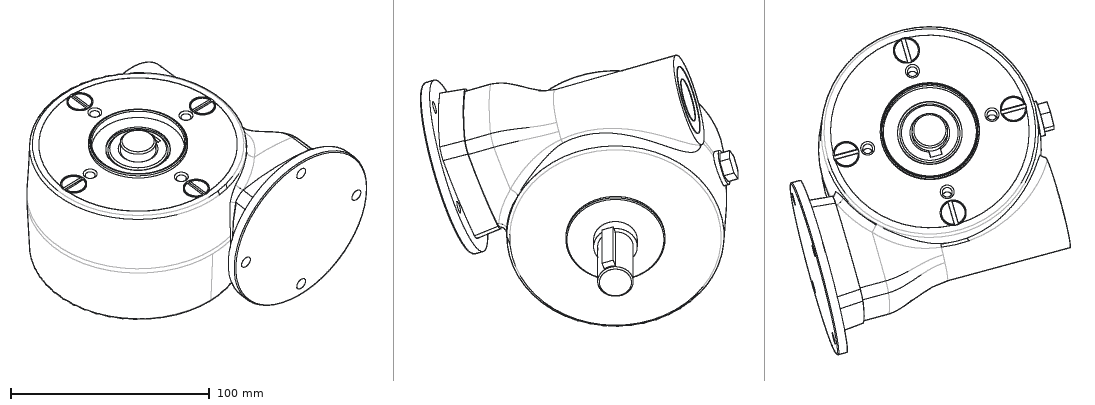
import cadquery as cq
import math

DRUM_R = 56.1
DRUM_END_R = 54.7
DRUM_HALF_H = 35.1
BAND_HALF_H = 1.5
RIM_FILLET = 1.5
COVER_R = 50.0
COVER_STEP = 0.1

BOSS_R = 25.0
BOSS_END_Z = 37.0
BOSS_CHAMFER = 0.6
RECESS_R = 23.5
RECESS_FLOOR_Z = 32.2
HUB_R = 15.2
HUB_GROOVE_R = 16.25
HUB_GROOVE_DEPTH = 1.0
HUB_CHAMFER = 0.9
BORE_CHAMFER_R = 9.99
SHAFT_R = 8.97
SHAFT_TOP_Z = 37.5
SHAFT_BOTTOM_Z = -75.59
SHAFT_CHAMFER = 0.9
COLLAR_R = 11.0
COLLAR_END_Z = -43.3
KEY_WIDTH = 6.0
KEY_REACH = 12.1
KEY_LENGTH = 30.0
KEY_GAP = 0.6
KEYWAY_REACH = 12.4
KEYWAY_DEPTH = 2.0

FASTENER_ANGLES = (0, 90, 180, 270)
SCREW_PITCH_R = 43.7
SCREW_R = 6.5
SCREW_GROOVE = 0.6
SCREW_GROOVE_DEPTH = 0.5
SLOT_WIDTH = 2.0
SLOT_DEPTH = 1.5
TAPPED_PITCH_R = 32.5
TAPPED_DIA = 5.0
TAPPED_MOUTH_DIA = 7.0
TAPPED_DEPTH = 10.2

WORM_Y = 44.6
TUBE_R = 23.5
TUBE_START_X = -54.5
TUBE_END_X = 9.6
TUBE_BLEND = 4.0
BLEND_CORE_R = DRUM_END_R
BLEND_OVERRUN = 43.7
SEAM_TOLERANCE = 0.03
CAP_STEPS = ((17.5, 0.3), (11.0, 0.6))
NECK_START_X = 41.7
NECK_END_X = 55.3
NECK_HALF = 29.6
ADAPTER_START_HALF = 30.5
ADAPTER_END_HALF = 31.5
SIDE_BULGE = 2.2
CORNER_R = 7.3
TRANSITION_STEPS = 4

FLANGE_R = 44.97
FLANGE_THICKNESS = 5.1
FLANGE_END_X = 73.2
FLANGE_CHAMFER = 0.6
FLANGE_FACE_X = FLANGE_END_X - FLANGE_THICKNESS
FLANGE_HOLE_DIA = 6.0
FLANGE_HOLE_PITCH_R = 37.5

PLUG_END_X = -63.1
PLUG_HEX_FLATS = 13.0
PLUG_HEX_START_X = -57.9
PLUG_WASHER_R = 8.97


def cylinder_z(radius, z_from, z_to):
    return cq.Workplane("XY").workplane(offset=z_from).circle(radius).extrude(z_to - z_from)


def cylinder_x(radius, x_from, x_to, y=0):
    return cq.Workplane("YZ", origin=(x_from, y, 0)).circle(radius).extrude(x_to - x_from)


def make_drum():
    profile = [
        (0, -DRUM_HALF_H), (DRUM_END_R, -DRUM_HALF_H), (DRUM_R, -BAND_HALF_H),
        (DRUM_R, BAND_HALF_H), (DRUM_END_R, DRUM_HALF_H), (0, DRUM_HALF_H),
    ]
    drum = cq.Workplane("XZ").polyline(profile).close().revolve(360, (0, 0), (0, 1))
    return drum.faces("<Z or >Z").edges().fillet(RIM_FILLET)


def section_wire(half, squareness, x):
    """Closed outline of eight arcs: a circle of TUBE_R morphing into a bulged square."""
    junction = half - CORNER_R
    edge = half - SIDE_BULGE
    corner = edge - CORNER_R * (1 - math.sqrt(0.5))
    angle = math.atan2(junction, edge)

    def morph(square_point, direction):
        return tuple(
            (1 - squareness) * TUBE_R * c + squareness * s
            for c, s in zip((math.cos(direction), math.sin(direction)), square_point)
        )

    first = (morph((edge, -junction), -angle), morph((half, 0), 0),
             morph((edge, junction), angle), morph((corner, corner), math.pi / 4))
    loop = []
    for quarter in range(4):
        c, s = ((1, 0), (0, 1), (-1, 0), (0, -1))[quarter]
        loop += [(c * u - s * v, s * u + c * v) for u, v in first]
    loop.append(loop[0])
    outline = cq.Workplane("YZ", origin=(x, WORM_Y, 0)).moveTo(*loop[0])
    for i in range(0, len(loop) - 1, 2):
        outline = outline.threePointArc(loop[i + 1], loop[i + 2])
    return outline.close().val()


def loft(wires, ruled=False):
    return cq.Workplane(cq.Solid.makeLoft(wires, ruled))


def make_transition():
    wires = []
    for step in range(TRANSITION_STEPS + 1):
        t = step / TRANSITION_STEPS
        x = TUBE_END_X + t * (NECK_START_X - TUBE_END_X)
        wires.append(section_wire(NECK_HALF, t * t * (3 - 2 * t), x))
    return loft(wires)


def straight_loft(half_from, half_to, x_from, x_to):
    return loft([section_wire(half_from, 1, x_from), section_wire(half_to, 1, x_to)], True)


def is_on_core(edge):
    """True for the curved seams that lie on the side of the blend core."""
    points = [edge.positionAt(t) for t in (0, 0.3, 0.5, 0.8, 1)]
    on_side = all(abs(math.hypot(p.x, p.y) - BLEND_CORE_R) < SEAM_TOLERANCE for p in points)
    return on_side and edge.geomType() == "BSPLINE"


def make_worm_housing():
    """Tube, transition and neck with a fillet where they meet the drum."""
    tube = cylinder_x(TUBE_R, TUBE_START_X - BLEND_OVERRUN, TUBE_END_X, WORM_Y)
    neck = straight_loft(NECK_HALF, NECK_HALF, NECK_START_X, NECK_END_X + BLEND_OVERRUN)
    core = cylinder_z(BLEND_CORE_R, RIM_FILLET - DRUM_HALF_H, DRUM_HALF_H - RIM_FILLET)
    body = core.union(tube).union(make_transition()).union(neck)
    seams = [edge for edge in body.edges().vals() if is_on_core(edge)]
    body = body.newObject(seams).fillet(TUBE_BLEND)

    length = NECK_END_X - TUBE_START_X
    trim = cq.Workplane("XY").box(length, 4 * DRUM_R, 2 * DRUM_HALF_H, centered=(False, True, True))
    body = body.intersect(trim.translate((TUBE_START_X, 0, 0)))
    for radius, depth in CAP_STEPS:
        body = body.cut(cylinder_x(radius, TUBE_START_X, TUBE_START_X + depth, WORM_Y))
    return body


def make_adapter_and_flange():
    adapter = straight_loft(ADAPTER_START_HALF, ADAPTER_END_HALF, NECK_END_X, FLANGE_FACE_X)
    flange = cylinder_x(FLANGE_R, FLANGE_FACE_X, FLANGE_END_X, WORM_Y)
    flange = flange.faces(">X").edges().chamfer(FLANGE_CHAMFER)
    holes = (
        cq.Workplane("YZ", origin=(FLANGE_FACE_X, WORM_Y, 0))
        .polarArray(FLANGE_HOLE_PITCH_R, 0, 360, 4)
        .circle(FLANGE_HOLE_DIA / 2)
        .extrude(FLANGE_THICKNESS)
    )
    return adapter.union(flange.cut(holes))


def make_boss(direction):
    """Raised bearing boss; direction is +1 on top and -1 underneath."""
    boss = cylinder_z(BOSS_R, 0, BOSS_END_Z).faces(">Z").edges().chamfer(BOSS_CHAMFER)
    return boss if direction > 0 else boss.mirror("XY")


def make_recess_cut():
    """Top recess around the hub, with a chamfered rim and a ring groove in its floor."""
    cut = cylinder_z(RECESS_R, RECESS_FLOOR_Z, BOSS_END_Z)
    cut = cut.union(make_cone(RECESS_R, RECESS_R + BOSS_CHAMFER, BOSS_END_Z))
    groove_floor_z = RECESS_FLOOR_Z - HUB_GROOVE_DEPTH
    hub = cylinder_z(HUB_R, groove_floor_z, RECESS_FLOOR_Z).faces(">Z").edges().chamfer(HUB_CHAMFER)
    groove = cylinder_z(HUB_GROOVE_R, groove_floor_z, RECESS_FLOOR_Z).cut(hub)
    keyway = (
        cq.Workplane("XY").workplane(offset=RECESS_FLOOR_Z - KEYWAY_DEPTH)
        .rect(KEY_WIDTH, 2 * KEYWAY_REACH).extrude(KEYWAY_DEPTH)
        .intersect(half_space_box())
    )
    return cut.union(groove).union(keyway).union(make_cone(SHAFT_R, BORE_CHAMFER_R, RECESS_FLOOR_Z))


def make_cone(small_r, large_r, top_z):
    """45 degree countersink that opens to large_r at top_z."""
    height = large_r - small_r
    return cq.Workplane(cq.Solid.makeCone(small_r, large_r, height, cq.Vector(0, 0, top_z - height)))


def half_space_box():
    """Box that covers the +Y side of the drum."""
    return cq.Workplane("XY").box(2 * DRUM_R, 2 * DRUM_R, 4 * DRUM_R, centered=(True, False, True))


def make_shaft():
    shaft = cylinder_z(SHAFT_R, SHAFT_BOTTOM_Z, SHAFT_TOP_Z)
    shaft = shaft.faces("<Z or >Z").edges().chamfer(SHAFT_CHAMFER)
    collar = cylinder_z(COLLAR_R, COLLAR_END_Z, 0)
    key = (
        cq.Workplane("XY").workplane(offset=COLLAR_END_Z - KEY_GAP)
        .center(0, KEY_REACH / 2).rect(KEY_WIDTH, KEY_REACH).extrude(-KEY_LENGTH)
    )
    return shaft.union(collar).union(key)


def make_screw_cut():
    """Ring outline and driver slot of one flush cover screw."""
    top_z = DRUM_HALF_H - COVER_STEP
    ring = cylinder_z(SCREW_R, top_z - SCREW_GROOVE_DEPTH, DRUM_HALF_H)
    ring = ring.cut(cylinder_z(SCREW_R - SCREW_GROOVE, top_z - SCREW_GROOVE_DEPTH, DRUM_HALF_H))
    slot = cq.Workplane("XY").box(2 * SCREW_R, SLOT_WIDTH, 2 * SLOT_DEPTH).translate((0, 0, top_z))
    slot = slot.intersect(cylinder_z(SCREW_R, 0, 2 * DRUM_HALF_H))
    return ring.union(slot).translate((SCREW_PITCH_R, 0, 0))


def make_tapped_hole():
    top_z = DRUM_HALF_H - COVER_STEP
    hole = cylinder_z(TAPPED_DIA / 2, top_z - TAPPED_DEPTH, top_z)
    mouth = make_cone(TAPPED_DIA / 2, TAPPED_MOUTH_DIA / 2, top_z)
    return hole.union(mouth).translate((TAPPED_PITCH_R, 0, 0))


def make_plug():
    washer = cylinder_x(PLUG_WASHER_R, PLUG_HEX_START_X, 1.5 - DRUM_R)
    hexagon = (
        cq.Workplane("YZ", origin=(PLUG_END_X, 0, 0))
        .polygon(6, PLUG_HEX_FLATS / math.cos(math.pi / 6))
        .extrude(PLUG_HEX_START_X - PLUG_END_X)
        .rotate((0, 0, 0), (1, 0, 0), 30)
    )
    return washer.union(hexagon)


housing = make_drum().union(make_worm_housing())
housing = housing.cut(cylinder_z(COVER_R, DRUM_HALF_H - COVER_STEP, DRUM_HALF_H))
housing = housing.union(make_boss(1)).union(make_boss(-1)).cut(make_recess_cut())
fasteners = make_screw_cut().union(make_tapped_hole())
for fastener_angle in FASTENER_ANGLES:
    housing = housing.cut(fasteners.rotate((0, 0, 0), (0, 0, 1), fastener_angle))

result = housing.union(make_adapter_and_flange()).union(make_shaft()).union(make_plug())